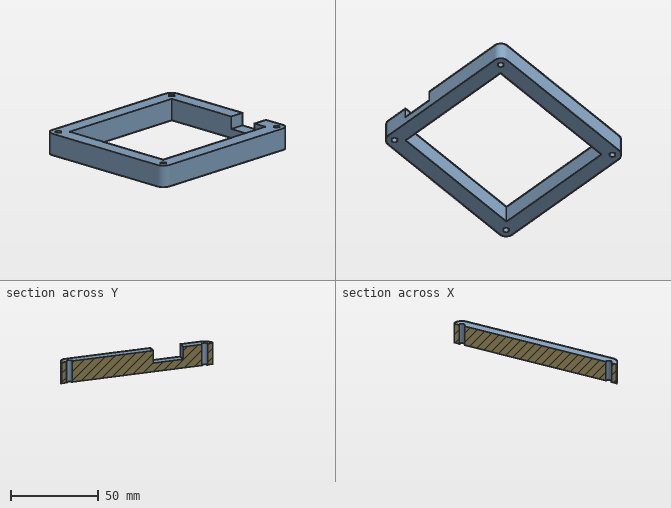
import cadquery as cq

FRAME_X = 93.5
FRAME_Y = 103.5
FRAME_Z = 13.0
WALL = 9.5
CORNER_RADIUS = 5.0

HOLE_DIAMETER = 3.4
HOLE_SPACING_X = FRAME_X - 2 * CORNER_RADIUS
HOLE_SPACING_Y = FRAME_Y - 2 * CORNER_RADIUS

NOTCH_START_X = 10.0
NOTCH_WIDTH = 18.5
NOTCH_DEPTH = 7.5


def make_frame():
    """Rectangular ring with rounded outer corners and a sharp-cornered opening."""
    outer = (
        cq.Workplane("XY")
        .rect(FRAME_X, FRAME_Y)
        .extrude(FRAME_Z)
        .edges("|Z")
        .fillet(CORNER_RADIUS)
    )
    opening = (
        cq.Workplane("XY")
        .rect(FRAME_X - 2 * WALL, FRAME_Y - 2 * WALL)
        .extrude(FRAME_Z)
    )
    return outer.cut(opening)


def make_screw_holes():
    """Four through holes, one in each corner."""
    return (
        cq.Workplane("XY")
        .rect(HOLE_SPACING_X, HOLE_SPACING_Y, forConstruction=True)
        .vertices()
        .circle(HOLE_DIAMETER / 2)
        .extrude(FRAME_Z)
    )


def make_notch():
    """Block that opens the +Y wall through its full thickness."""
    return (
        cq.Workplane("XY")
        .box(NOTCH_WIDTH, WALL, NOTCH_DEPTH, centered=False)
        .translate((NOTCH_START_X, FRAME_Y / 2 - WALL, FRAME_Z - NOTCH_DEPTH))
    )


result = make_frame().cut(make_screw_holes()).cut(make_notch())